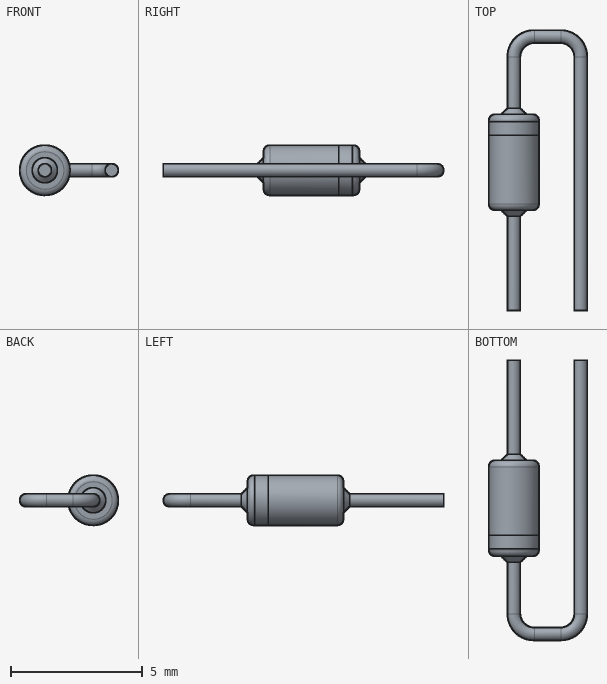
import cadquery as cq
import math

overall_length = 10.64

case_diameter = 1.92
case_start = 3.8
case_length = 3.65
case_edge_radius = 0.25
collar_base_diameter = 0.96
collar_length = 0.22

band_width = 0.51
band_edge_gap = 0.29
band_depth = 0.05

wire_diameter = 0.5
lead_pitch = 2.538
bend_radius = 0.77

case_radius = case_diameter / 2
collar_base_radius = collar_base_diameter / 2
wire_radius = wire_diameter / 2
case_end = case_start + case_length
collar_start = case_start - collar_length
collar_end = case_end + collar_length
band_end = case_end - band_edge_gap
band_start = band_end - band_width
band_inner_radius = case_radius - band_depth


def revolve_about_y(profile):
    """Turn a closed XY half-profile a full circle about the Y axis."""
    return profile.revolve(360, (0, 0, 0), (0, 1, 0))


def make_band():
    """Thin ring, flush with the cylindrical side of the case."""
    profile = cq.Workplane("XY").moveTo(band_inner_radius, band_start)
    profile = profile.lineTo(case_radius, band_start)
    profile = profile.lineTo(case_radius, band_end)
    profile = profile.lineTo(band_inner_radius, band_end).close()
    return revolve_about_y(profile)


def make_case(band):
    """Round-edged cylinder with a conical collar at each end and a groove for the band."""
    flat_radius = case_radius - case_edge_radius
    side_start = case_start + case_edge_radius
    side_end = case_end - case_edge_radius
    arc_middle_offset = case_edge_radius * (1 - math.sqrt(0.5))
    arc_middle_radius = case_radius - arc_middle_offset

    profile = (
        cq.Workplane("XY")
        .moveTo(0, collar_start)
        .lineTo(wire_radius, collar_start)
        .lineTo(collar_base_radius, case_start)
        .lineTo(flat_radius, case_start)
        .threePointArc((arc_middle_radius, case_start + arc_middle_offset), (case_radius, side_start))
        .lineTo(case_radius, side_end)
        .threePointArc((arc_middle_radius, case_end - arc_middle_offset), (flat_radius, case_end))
        .lineTo(collar_base_radius, case_end)
        .lineTo(wire_radius, collar_end)
        .lineTo(0, collar_end)
        .close()
    )
    return revolve_about_y(profile).cut(band)


def make_straight_lead():
    """Straight wire from its free tip to the near collar."""
    return cq.Workplane("XZ").circle(wire_radius).extrude(-collar_start)


def make_bent_lead():
    """Wire from the far collar, turned back alongside the case by two quarter bends."""
    bend_start = overall_length - wire_radius - bend_radius
    path = (
        cq.Workplane("XY")
        .moveTo(0, collar_end)
        .lineTo(0, bend_start)
        .radiusArc((bend_radius, bend_start + bend_radius), bend_radius)
        .lineTo(lead_pitch - bend_radius, bend_start + bend_radius)
        .radiusArc((lead_pitch, bend_start), bend_radius)
        .lineTo(lead_pitch, 0)
    )
    section = cq.Workplane("XZ", origin=(0, collar_end, 0)).circle(wire_radius)
    return section.sweep(path)


band = make_band()
case = make_case(band)
straight_lead = make_straight_lead()
bent_lead = make_bent_lead()

result = cq.Compound.makeCompound([case.val(), band.val(), straight_lead.val(), bent_lead.val()])